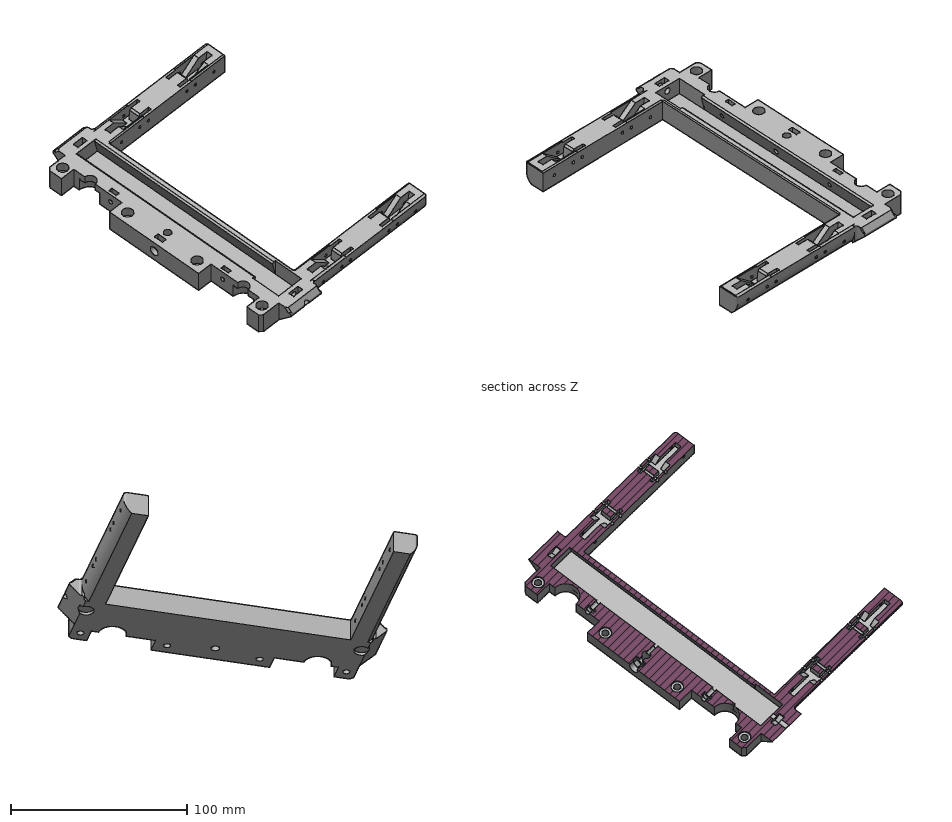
import cadquery as cq
import math

width = 186.67
depth = 134.0
height = 14.0

beam_front_y = 10.2
beam_back_y = 39.4
ear_outer_x = 83.7
ear_inner_x = 72.6
ear_back_y = 14.7
ear_chamfer = 2.0
block_half_width = 34.9

wing_back_y = 39.7
wing_tip_low_z = 9.0
wing_tip_high_z = 11.2
wing_top_chamfer = 2.7
wing_tip_setback = 0.6
wing_front_chamfer = 1.2
wing_back_chamfer = 0.6

arm_inner_x = 72.0
arm_outer_x = 86.3
arm_straight_z = 9.3
arm_belly_radius = 12.0
arm_corner_radius = 1.5
rim_drop = 0.7
rim_inner = 1.0
rim_outer = 1.6
rim_end = 0.4
saddle_front_y = 67.5
saddle_back_y = 106.5
arm_mid_x = (arm_inner_x + arm_outer_x) / 2
arm_mid_y = (saddle_front_y + saddle_back_y) / 2

latch_floor_z = 5.4
latch_width = 11.0
tongue_width = 6.9
tongue_reach = 21.0
tongue_chamfer = 1.2
tongue_lean = 0.8
side_slot_start = 11.8
side_slot_ramp = 1.5
latch_ramp_foot = 24.0
latch_ramp_top = 35.0
stem_width = 4.0
stem_reach = 42.0
stem_end_slope = 1.2
pin_diameter = 1.8
pins = [(15.9, 8.0), (22.9, 8.0), (38.0, 7.0)]

channel_floor_z = 3.0
channel_mid_y = 27.95
channel_half_length = 79.9
channel_entry_x = 59.5
channel_half_width = 9.35
channel_mouth_half = 8.1
channel_lip_half = 6.95
channel_lip_z = 13.0

screw_xs = (27.2, 78.1)
screw_y = 6.8
screw_diameter = 4.0
screw_head_diameter = 7.0
screw_head_depth = 6.0
middle_hole_diameter = 4.8
middle_hole_y = 11.1
middle_bore_z = 7.1
middle_bore_diameter = 6.0
middle_bore_small_diameter = 3.4
middle_trap_y = 5.1
middle_trap_width = 6.3
middle_trap_thickness = 3.0
small_bore_x = 43.9
small_bore_z = 8.0
small_bore_diameter = 2.8
small_trap_y = 13.2
small_trap_width = 5.6
small_trap_thickness = 2.4
wing_trap_x = 84.45
wing_trap_y = 27.9
wing_trap_width = 7.4
wing_trap_thickness = 3.6
wing_bore_z = 10.0
wing_bore_diameter = 4.0
relief_x = 59.9
relief_radius = 4.0
relief_large_x = 60.3
relief_large_radius = 8.0
relief_step_z = 9.0
foot_x = 81.0
foot_y = 30.0
foot_diameter = 9.0
foot_depth = 1.8


def box(x0, x1, y0, y1, z0, z1):
    """Box between two opposite corners."""
    return cq.Workplane("XY").box(x1 - x0, y1 - y0, z1 - z0, centered=False).translate((x0, y0, z0))


def profile_along_x(points, x0, x1):
    """Prism with a (Y, Z) outline running from x0 to x1."""
    return cq.Workplane("YZ").workplane(offset=x0).polyline(points).close().extrude(x1 - x0)


def cylinder_z(x, y, diameter, z0, z1):
    return cq.Workplane("XY").workplane(offset=z0).center(x, y).circle(diameter / 2).extrude(z1 - z0)


def cylinder_y(x, z, diameter, y0, y1):
    return cq.Workplane("XZ", origin=(x, y0, z)).circle(diameter / 2).extrude(y0 - y1)


def cylinder_x(y, z, diameter, x0, x1):
    return cq.Workplane("YZ", origin=(x0, y, z)).circle(diameter / 2).extrude(x1 - x0)


def make_half_beam():
    """Right half of the beam with half the middle block and one ear."""
    half = box(0, ear_outer_x, beam_front_y, beam_back_y, 0, height)
    half = half.union(box(0, block_half_width, 0, beam_front_y, 0, height))
    ear = box(ear_inner_x, ear_outer_x, 0, beam_front_y, 0, height)
    half = half.union(ear.edges("|Z and >X and <Y").chamfer(ear_chamfer))
    back_edge = cq.Workplane("YZ").polyline([
        (beam_back_y - rim_drop, height),
        (beam_back_y, height),
        (beam_back_y, height - rim_drop),
    ]).close().extrude(arm_inner_x)
    return half.cut(back_edge)


def make_wing():
    """Pointed wing with both ends of its upper slope bevelled."""
    tip_x = width / 2
    tip_mid_z = (wing_tip_low_z + wing_tip_high_z) / 2
    slope_x = tip_x - wing_tip_setback
    belly_x = ear_outer_x + wing_tip_low_z
    wing = (
        cq.Workplane("XZ", origin=(0, wing_back_y, 0))
        .moveTo(arm_inner_x, 0)
        .lineTo(ear_outer_x, 0)
        .lineTo(belly_x, wing_tip_low_z)
        .threePointArc((tip_x, tip_mid_z), (slope_x, wing_tip_high_z))
        .lineTo(slope_x - wing_top_chamfer, height)
        .lineTo(arm_inner_x, height)
        .close()
        .extrude(wing_back_y - ear_back_y)
    )
    slope_mid_x = slope_x - wing_top_chamfer / 2
    slope_mid_z = (wing_tip_high_z + height) / 2
    for end_y, size in ((ear_back_y, wing_front_chamfer), (wing_back_y, wing_back_chamfer)):
        slope_edge = cq.selectors.NearestToPointSelector((slope_mid_x, end_y, slope_mid_z))
        wing = wing.edges(slope_edge).chamfer(size)
    return wing


def make_arm():
    """Solid arm with a curved outer belly, bevelled rim and a lowered saddle."""
    def belly_x(z):
        below = arm_straight_z - z
        return arm_outer_x - arm_belly_radius + math.sqrt(arm_belly_radius ** 2 - below ** 2)

    arm = (
        cq.Workplane("XZ", origin=(0, depth, 0))
        .moveTo(arm_inner_x, 0)
        .lineTo(belly_x(0), 0)
        .threePointArc((belly_x(arm_straight_z / 2), arm_straight_z / 2), (arm_outer_x, arm_straight_z))
        .lineTo(arm_outer_x, height - rim_drop)
        .lineTo(arm_outer_x - rim_outer, height)
        .lineTo(arm_inner_x + rim_inner, height)
        .lineTo(arm_inner_x, height - rim_drop)
        .close()
        .extrude(depth - beam_back_y)
    )
    plan = box(arm_inner_x, arm_outer_x, beam_back_y, depth, 0, height)
    plan = plan.edges("|Z and >X and >Y").fillet(arm_corner_radius)
    plan = plan.edges(">Z and >Y").chamfer(rim_end)
    saddle = box(arm_inner_x, arm_outer_x, saddle_front_y, saddle_back_y, height - rim_drop, height)
    return arm.intersect(plan).cut(saddle)


def make_root_fillet():
    """Concave upright fillet between the arm's outer side and the wing."""
    r = arm_corner_radius
    block = box(arm_outer_x - r, arm_outer_x + r, wing_back_y, wing_back_y + r, 0, height)
    block = block.cut(cylinder_z(arm_outer_x + r, wing_back_y + r, 2 * r, 0, height))
    under_wing = make_wing().translate((0, r, 0))
    return block.intersect(under_wing)


def make_latch_pocket():
    """Latch pocket of the arm's back half: ramp, stem slot and the slots beside the tongue."""
    left = arm_mid_x - latch_width / 2
    right = arm_mid_x + latch_width / 2

    def local(points):
        return [(arm_mid_y + along, z) for along, z in points]

    pocket = profile_along_x(local([
        (side_slot_start, height),
        (side_slot_start + side_slot_ramp, latch_floor_z),
        (latch_ramp_foot, latch_floor_z),
        (latch_ramp_top, height),
    ]), left, right)
    tongue = profile_along_x(local([
        (0, latch_floor_z),
        (0, height - rim_drop),
        (tongue_reach - tongue_lean - tongue_chamfer, height - rim_drop),
        (tongue_reach - tongue_lean, height - rim_drop - tongue_chamfer),
        (tongue_reach, latch_floor_z),
    ]), arm_mid_x - tongue_width / 2, arm_mid_x + tongue_width / 2)
    stem = profile_along_x(local([
        (tongue_reach, height),
        (tongue_reach, latch_floor_z),
        (stem_reach - stem_end_slope, latch_floor_z),
        (stem_reach, height),
    ]), arm_mid_x - stem_width / 2, arm_mid_x + stem_width / 2)
    pocket = pocket.cut(tongue).union(stem)
    for along, z in pins:
        pocket = pocket.union(cylinder_x(arm_mid_y + along, z, pin_diameter, arm_inner_x, arm_outer_x))
    return pocket


def make_nut_trap(nut_width, thickness, center_z):
    """Upright slot at the origin, open at the top, ending in the point of a hexagon nut (axis along Y)."""
    corner = nut_width / math.sqrt(3)
    half = nut_width / 2
    return (
        cq.Workplane("XZ", origin=(0, thickness / 2, 0))
        .polyline([
            (-half, height),
            (-half, center_z - corner / 2),
            (0, center_z - corner),
            (half, center_z - corner / 2),
            (half, height),
        ])
        .close()
        .extrude(thickness)
    )


def make_side_cutters():
    """Everything cut from the right half that repeats on the left half."""
    latch = make_latch_pocket()
    cutters = latch.union(latch.mirror("XZ", (0, arm_mid_y, 0)))

    for x in screw_xs:
        cutters = cutters.union(cylinder_z(x, screw_y, screw_diameter, 0, height))
        head_bottom_z = height - screw_head_depth
        cutters = cutters.union(cylinder_z(x, screw_y, screw_head_diameter, head_bottom_z, height))

    cutters = cutters.union(cylinder_z(relief_x, beam_front_y, 2 * relief_radius, 0, height))
    large_relief = cylinder_z(relief_large_x, beam_front_y, 2 * relief_large_radius, 0, relief_step_z)
    cutters = cutters.union(large_relief)

    small_trap = make_nut_trap(small_trap_width, small_trap_thickness, small_bore_z)
    cutters = cutters.union(small_trap.translate((small_bore_x, small_trap_y, 0)))
    cutters = cutters.union(
        cylinder_y(small_bore_x, small_bore_z, small_bore_diameter, beam_front_y, channel_mid_y)
    )

    wing_trap = make_nut_trap(wing_trap_width, wing_trap_thickness, wing_bore_z)
    wing_trap = wing_trap.rotate((0, 0, 0), (0, 0, 1), 90)
    cutters = cutters.union(wing_trap.translate((wing_trap_x, wing_trap_y, 0)))

    return cutters.union(cylinder_z(foot_x, foot_y, foot_diameter, 0, foot_depth))


def make_channel():
    """Undercut channel along the beam, with a full-width entry at its right end."""
    back_wall = [
        (channel_half_width, channel_floor_z),
        (channel_lip_half, channel_lip_z),
        (channel_mouth_half, height),
    ]
    front_wall = [(-y, z) for y, z in reversed(back_wall)]
    outline = [(channel_mid_y + y, z) for y, z in back_wall + front_wall]
    undercut = profile_along_x(outline, -channel_half_length, channel_entry_x)
    entry = box(
        channel_entry_x,
        channel_half_length,
        channel_mid_y - channel_half_width,
        channel_mid_y + channel_half_width,
        channel_floor_z,
        height,
    )
    return undercut.union(entry)


def make_middle_cutters():
    """Upright hole, stepped front bore and nut trap on the centre line."""
    cutters = cylinder_z(0, middle_hole_y, middle_hole_diameter, 0, height)
    cutters = cutters.union(cylinder_y(0, middle_bore_z, middle_bore_diameter, 0, middle_trap_y))
    cutters = cutters.union(cylinder_y(0, middle_bore_z, middle_bore_small_diameter, 0, channel_mid_y))
    trap = make_nut_trap(middle_trap_width, middle_trap_thickness, middle_bore_z)
    return cutters.union(trap.translate((0, middle_trap_y, 0)))


half_body = make_half_beam().union(make_wing()).union(make_arm()).union(make_root_fillet())
half_body = half_body.cut(make_side_cutters())

wing_bore = cylinder_x(wing_trap_y, wing_bore_z, wing_bore_diameter, channel_entry_x, width / 2)

result = half_body.union(half_body.mirror("YZ"))
result = result.cut(make_channel()).cut(make_middle_cutters()).cut(wing_bore)